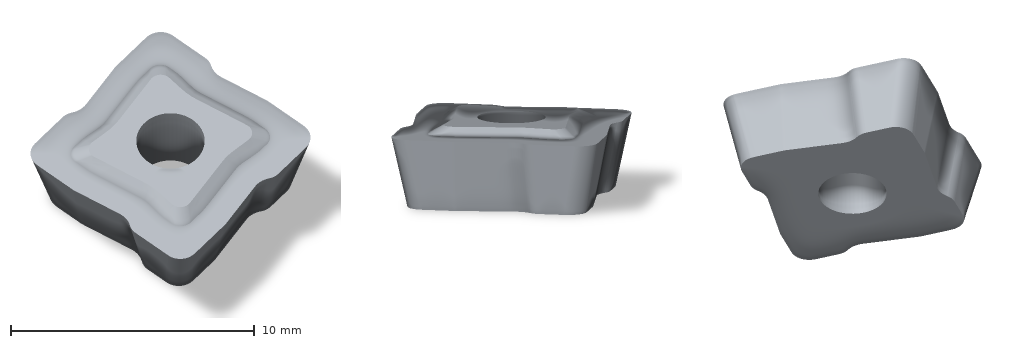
import cadquery as cq
import math

width = 8.6
total_height = 3.3
island_height = 0.32
hole_diameter = 2.8
base_inset = 0.56
side_angle = math.radians(8)
side_slope = math.tan(side_angle)

half_width = width / 2
slope_start = -1.565
notch_end = 1.55
notch_angle = math.radians(35)
slope_radius = 0.86
notch_root_radius = 0.95
notch_end_radius = 0.73

corner_radius = 0.765
corner_lean = math.tan(math.radians(9))
wiper_slope = math.tan(math.radians(2))
wiper_start = 0.69
wiper_end = 0.92
wiper_rise = (wiper_end - wiper_start) * wiper_slope
corner_rise = wiper_rise + wiper_start * corner_lean
wiper_start_radius = 0.6
wiper_end_radius = 0.34

foot_low = 3.16
foot_high = 2.975
foot_valley = (1.03, -2.79)
foot_slope_start = foot_valley[0] - (foot_low + foot_valley[1]) / side_slope
foot_slope_end = 2.11
foot_corner_radius = 0.56
foot_bend_radius = 3.44
foot_valley_radius = 1.72
top_valley = (0.95, -2.245)
top_corner_x = -2.485
top_corner_y = top_valley[1] - (top_valley[0] - top_corner_x) * side_slope
top_corner_radius = 0.47
top_valley_radius = 2.58


def four_sides(side):
    """Repeat the (x, y, radius) corners of the -Y side on all four sides, counterclockwise."""
    corners = list(side)
    for _ in range(3):
        side = [(-y, x, radius) for x, y, radius in side]
        corners += side
    return corners


def corner_arcs(corners, z):
    """Start, middle and end point of the tangent arc at each corner."""
    arcs = []
    for i, (x, y, radius) in enumerate(corners):
        here = cq.Vector(x, y, z)
        to_before = (cq.Vector(*corners[i - 1][:2], z) - here).normalized()
        to_after = (cq.Vector(*corners[(i + 1) % len(corners)][:2], z) - here).normalized()
        half_angle = to_before.getAngle(to_after) / 2
        setback = radius / math.tan(half_angle)
        bisector = (to_before + to_after).normalized()
        middle = here + bisector * (radius / math.sin(half_angle) - radius)
        arcs.append((here + to_before * setback, middle, here + to_after * setback))
    return arcs


def rounded_wire(corners, z):
    """Closed outline at height z, with lines between the rounded corners."""
    arcs = corner_arcs(corners, z)
    edges = []
    for i, (start, middle, end) in enumerate(arcs):
        edges.append(cq.Edge.makeLine(arcs[i - 1][2], start))
        edges.append(cq.Edge.makeThreePointArc(start, middle, end))
    return cq.Wire.assembleEdges(edges)


def smooth_wire(side, z):
    """Closed outline of four equal curves, each running from mid-side to mid-side.

    The side starts at its valley corner, so the curve starts on the straight stretch before it.
    """
    valley_x, valley_y, _ = side[0]
    seam = cq.Vector(0, valley_y - valley_x * side_slope, z)
    seam_direction = cq.Vector(1, side_slope, 0).normalized()
    points = [seam]
    tangents = [seam_direction]
    corners = four_sides(side)
    for i, arc in enumerate(corner_arcs(corners, z)[:len(side)]):
        start, _, end = arc
        here = cq.Vector(*corners[i][:2], z)
        points += arc
        tangents += [step.normalized() for step in (here - start, end - start, end - here)]
    points.append(cq.Vector(-seam.y, seam.x, z))
    tangents.append(cq.Vector(-seam_direction.y, seam_direction.x, 0))
    curve = cq.Edge.makeSpline(points, tangents=tangents, scale=False)
    origin = cq.Vector(0, 0, 0)
    axis_end = cq.Vector(0, 0, 1)
    return cq.Wire.assembleEdges([curve.rotate(origin, axis_end, 90 * turn) for turn in range(4)])


def body_outline(inset):
    """Body corners with the sides and notches moved inward and the insert corners kept in size."""
    half = half_width - inset
    start = slope_start - inset * math.tan(side_angle / 2)
    end = notch_end + inset * math.tan(notch_angle / 2)
    notch_slope = math.tan(notch_angle)
    root = start + (end - start) * notch_slope / (side_slope + notch_slope)
    depth = (root - start) * side_slope
    return four_sides([
        (-half, -half + corner_rise, corner_radius),
        (-half + wiper_start, -half + wiper_rise, wiper_start_radius),
        (-half + wiper_end, -half, wiper_end_radius),
        (start, -half, slope_radius),
        (root, -half + depth, notch_root_radius),
        (end, -half, notch_end_radius),
    ])


def make_body():
    base = rounded_wire(body_outline(base_inset), -total_height)
    rake_face = rounded_wire(body_outline(0), -island_height)
    return cq.Workplane(cq.Solid.makeLoft([base, rake_face], True))


def make_island():
    foot = [
        (*foot_valley, foot_valley_radius),
        (foot_slope_end, -foot_high, foot_bend_radius),
        (foot_low, -foot_high, foot_corner_radius),
        (foot_low, foot_slope_start, foot_bend_radius),
    ]
    top = [
        (*top_valley, top_valley_radius),
        (-top_corner_y, top_corner_x, top_corner_radius),
    ]
    foot_wire = smooth_wire(foot, -island_height)
    top_wire = smooth_wire(top, 0)
    return cq.Workplane(cq.Solid.makeLoft([foot_wire, top_wire], True))


hole = cq.Workplane().circle(hole_diameter / 2).extrude(-total_height)
result = make_body().union(make_island()).cut(hole)